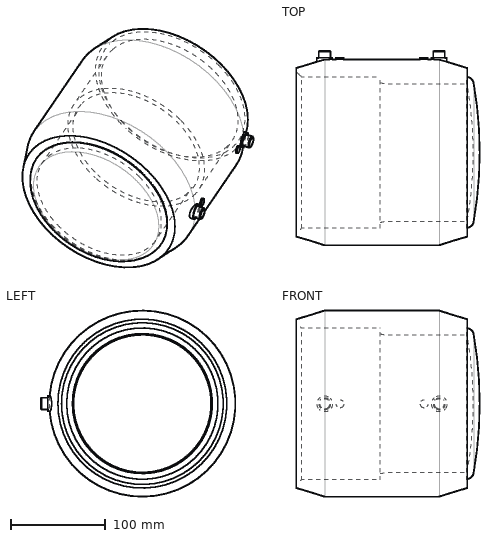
import cadquery as cq
import math


sleeve_length = 181.0
sleeve_radius = 98.5
sleeve_end_radius = 89.3
taper_length = 30.0
socket_radius = 80.0
lead_in = 5.5

plug_start = 88.5
plug_radius = socket_radius
plug_wall = 7.3
plug_bore_radius = plug_radius - plug_wall
mouth_radius = 74.0
mouth_depth = 5.5
overall_length = 194.13
dome_edge_x = 187.7
dome_edge_radius = 73.3

terminal_radius = 6.3
terminal_top = 107.5
terminal_chamfer = 1.0
collar_radius = 8.3
indicator_radius = 4.15
raised_top = 100.0
indicator_spacing = 16.0
root_radius = 90.0

dome_rise = overall_length - dome_edge_x
dome_radius = (dome_edge_radius**2 + dome_rise**2) / (2 * dome_rise)
dome_center_x = overall_length - dome_radius
inner_dome_radius = dome_radius - plug_wall
inner_apex_x = overall_length - plug_wall

dome_edge_angle = math.asin(dome_edge_radius / dome_radius)
shoulder_radius = (plug_radius - dome_edge_radius) / (1 - math.sin(dome_edge_angle))
shoulder_center_x = dome_edge_x - shoulder_radius * math.cos(dome_edge_angle)
shoulder_mid_angle = (dome_edge_angle + math.pi / 2) / 2


def dome_x(sphere_radius, radius):
    """X of a dome face at a given distance from the axis."""
    return dome_center_x + math.sqrt(sphere_radius**2 - radius**2)


def revolve_about_x(profile):
    """Close an XY half profile and spin it round the X axis."""
    return profile.close().revolve(360, (0, 0, 0), (1, 0, 0))


def make_sleeve():
    profile = (
        cq.Workplane("XY")
        .moveTo(0, socket_radius + lead_in)
        .lineTo(0, sleeve_end_radius)
        .lineTo(taper_length, sleeve_radius)
        .lineTo(sleeve_length - taper_length, sleeve_radius)
        .lineTo(sleeve_length, sleeve_end_radius)
        .lineTo(sleeve_length, socket_radius)
        .lineTo(lead_in, socket_radius)
    )
    return revolve_about_x(profile)


def make_plug():
    inner_edge_x = dome_x(inner_dome_radius, plug_bore_radius)
    inner_mid_radius = plug_bore_radius / 2
    outer_mid_radius = dome_edge_radius / 2
    shoulder_mid = (
        shoulder_center_x + shoulder_radius * math.cos(shoulder_mid_angle),
        plug_radius - shoulder_radius + shoulder_radius * math.sin(shoulder_mid_angle),
    )
    profile = (
        cq.Workplane("XY")
        .moveTo(inner_apex_x, 0)
        .lineTo(overall_length, 0)
        .threePointArc(
            (dome_x(dome_radius, outer_mid_radius), outer_mid_radius),
            (dome_edge_x, dome_edge_radius),
        )
        .threePointArc(shoulder_mid, (shoulder_center_x, plug_radius))
        .lineTo(plug_start, plug_radius)
        .lineTo(plug_start, mouth_radius)
        .lineTo(plug_start + mouth_depth, plug_bore_radius)
        .lineTo(inner_edge_x, plug_bore_radius)
        .threePointArc(
            (dome_x(inner_dome_radius, inner_mid_radius), inner_mid_radius),
            (inner_apex_x, 0),
        )
    )
    return revolve_about_x(profile)


def radial_post(x, radius, top):
    """Round post along +Y, rooted inside the sleeve wall."""
    base = cq.Workplane("XZ", origin=(x, root_radius, 0))
    return base.circle(radius).extrude(root_radius - top)


def make_terminal(x):
    pin = radial_post(x, terminal_radius, terminal_top)
    pin = pin.faces(">Y").chamfer(terminal_chamfer)
    return pin.union(radial_post(x, collar_radius, raised_top))


result = make_sleeve().union(make_plug())
for terminal_x, inward in ((taper_length, 1), (sleeve_length - taper_length, -1)):
    indicator_x = terminal_x + inward * indicator_spacing
    result = result.union(make_terminal(terminal_x))
    result = result.union(radial_post(indicator_x, indicator_radius, raised_top))